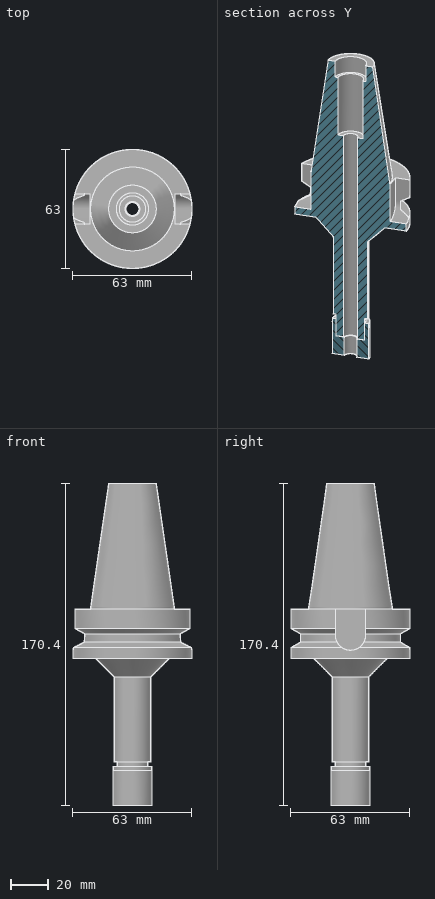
import cadquery as cq
import math

total_height = 170.4
gauge_height = 105.0
flange_top = 104.0
flange_bottom = 77.7
groove_floor_top = 90.8
groove_floor_bottom = 86.4
shank_bottom = 23.2
nut_height = 20.8
nut_rim_height = 2.2

gauge_radius = 22.2
flange_radius = 31.5
groove_radius = 26.5
cone_radius = 19.5
shank_radius = 9.7
neck_radius = 8.2
nut_radius = 10.4
nut_rim_radius = 10.2

taper_slope = 7 / 48
taper_top_radius = gauge_radius - taper_slope * (total_height - gauge_height)
cone_bottom = flange_bottom - (cone_radius - shank_radius)
groove_wall_rise = (flange_radius - groove_radius) * math.tan(math.radians(30))

mouth_radius = 8.5
mouth_depth = 9.2
thread_radius = 7.0
thread_depth = 42.6
through_radius = 4.0
nut_hole_radius = 3.4

slot_width = 16.0
slot_floor_offset = 22.5
slot_bottom = 82.1

neck_insertion = 10.2
neck_bottom = nut_height - neck_insertion


def cylinder(radius, bottom, top):
    """Make a cylinder on the Z axis between two heights."""
    return cq.Workplane("XY").workplane(offset=bottom).circle(radius).extrude(top - bottom)


def revolved(profile):
    """Revolve a closed (radius, height) profile about the Z axis."""
    return cq.Workplane("XZ").polyline(profile).close().revolve(360, (0, 0, 0), (0, 1, 0))


def drive_slot(side):
    """Make the cutter for one open-topped, round-bottomed slot; side is -1 or 1."""
    half_width = slot_width / 2
    arc_center = slot_bottom + half_width
    return (
        cq.Workplane("YZ")
        .workplane(offset=side * slot_floor_offset)
        .moveTo(-half_width, flange_top)
        .lineTo(-half_width, arc_center)
        .threePointArc((0, slot_bottom), (half_width, arc_center))
        .lineTo(half_width, flange_top)
        .close()
        .extrude(side * flange_radius)
    )


def make_holder():
    """Make the taper, grooved flange, shank and neck with the bore and drive slots."""
    body = revolved([
        (0, neck_bottom),
        (neck_radius, neck_bottom),
        (neck_radius, shank_bottom),
        (shank_radius, shank_bottom),
        (shank_radius, cone_bottom),
        (cone_radius, flange_bottom),
        (flange_radius, flange_bottom),
        (flange_radius, groove_floor_bottom - groove_wall_rise),
        (groove_radius, groove_floor_bottom),
        (groove_radius, groove_floor_top),
        (flange_radius, groove_floor_top + groove_wall_rise),
        (flange_radius, flange_top),
        (gauge_radius, flange_top),
        (gauge_radius, gauge_height),
        (taper_top_radius, total_height),
        (0, total_height),
    ])
    for side in (-1, 1):
        body = body.cut(drive_slot(side))
    body = body.cut(cylinder(mouth_radius, total_height - mouth_depth, total_height))
    body = body.cut(cylinder(thread_radius, total_height - thread_depth, total_height))
    return body.cut(cylinder(through_radius, neck_bottom, total_height))


def make_nut():
    """Make the nut with a slightly narrower upper rim, a recess for the neck and a hole."""
    rim_bottom = nut_height - nut_rim_height
    body = cylinder(nut_radius, 0, rim_bottom)
    body = body.union(cylinder(nut_rim_radius, rim_bottom, nut_height))
    body = body.cut(cylinder(neck_radius, neck_bottom, nut_height))
    return body.cut(cylinder(nut_hole_radius, 0, neck_bottom))


holder = make_holder()
nut = make_nut()
result = cq.Compound.makeCompound([holder.val(), nut.val()])